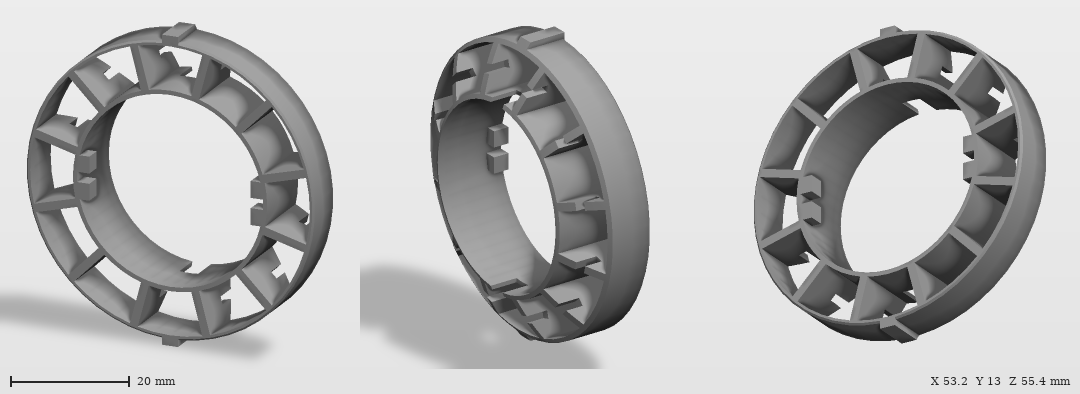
import cadquery as cq
import math


total_depth = 13.0
outer_diameter = 53.2
outer_radius = outer_diameter / 2
bore_radius = 34.3 / 2
dome_radius = 46.0
front_chamfer = 0.35

wall = 0.8
rim_inner_radius = outer_radius - wall
hub_outer_radius = bore_radius + wall
rib_count = 12
rib_width = 1.5
rib_first_angle = 360 / rib_count / 2

groove_inner_radius = 21.15
groove_outer_radius = 22.65
groove_floor = 7.0

key_width = 2.95
key_span = 55.4

lug_tip = 14.9
lug_width = 7.85
lug_depth = 3.0
lug_slot_width = 1.85

notch_width = 3.45
notch_floor = 7.7


def cylinder(radius, start=0.0, end=total_depth):
    """Solid cylinder about the Y axis from Y = start to Y = end."""
    disc = cq.Workplane("XZ", origin=(0, start, 0)).circle(radius)
    return disc.extrude(start - end)


def tube(outside, inside, start=0.0, end=total_depth):
    """Hollow cylinder about the Y axis."""
    return cylinder(outside, start, end).cut(cylinder(inside, start, end))


def block(x_size, z_size, start=0.0, end=total_depth, x_center=0.0):
    """Box from Y = start to Y = end, centred on Z = 0."""
    box = cq.Workplane("XY").box(x_size, end - start, z_size)
    return box.translate((x_center, (start + end) / 2, 0))


def make_rim():
    rim = cylinder(outer_radius).faces("<Y").chamfer(front_chamfer)
    return rim.cut(cylinder(rim_inner_radius))


def make_ribs():
    hub_middle = bore_radius + wall / 2
    rim_middle = outer_radius - wall / 2
    rib = block(rim_middle - hub_middle, rib_width, x_center=(hub_middle + rim_middle) / 2)
    ribs = cq.Workplane("XY")
    for index in range(rib_count):
        angle = rib_first_angle + index * 360 / rib_count
        ribs = ribs.add(rib.rotate((0, 0, 0), (0, 1, 0), angle))
    ribs = ribs.combine()
    return ribs.cut(tube(groove_outer_radius, groove_inner_radius, groove_floor))


def make_keys():
    return block(key_width, key_span).cut(cylinder(rim_inner_radius))


def make_hub():
    hub = tube(hub_outer_radius, bore_radius)
    return hub.cut(block(notch_width, 2 * outer_radius, start=notch_floor))


def make_lugs():
    bar = block(2 * hub_outer_radius, lug_width, end=lug_depth)
    bar = bar.intersect(cylinder(bore_radius + wall / 2))
    bar = bar.cut(block(2 * lug_tip, lug_width, end=lug_depth))
    return bar.cut(block(2 * bore_radius, lug_slot_width, end=lug_depth))


def make_dome():
    center_y = total_depth - math.sqrt(dome_radius**2 - bore_radius**2)
    return cq.Workplane("XY").sphere(dome_radius).translate((0, center_y, 0))


body = make_rim().union(make_hub()).union(make_ribs()).union(make_keys())
result = body.intersect(make_dome()).union(make_lugs())